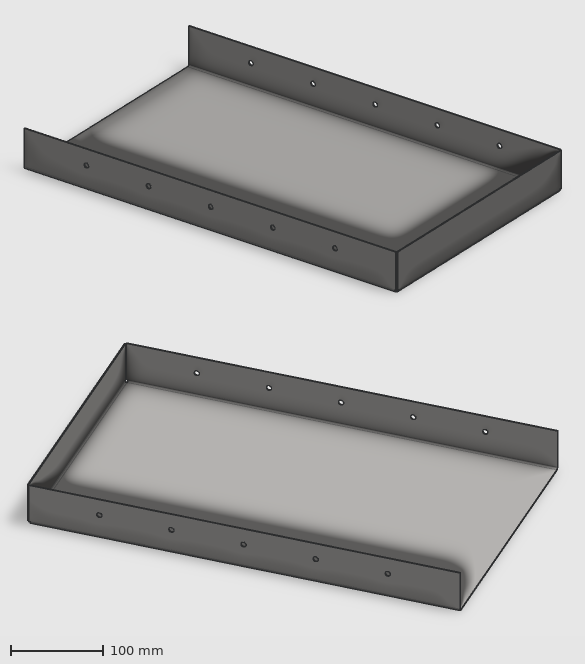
import cadquery as cq

length = 502.0
width = 304.0
height = 50.0

sheet = 1.5
outer_bend = 3.5
inner_bend = outer_bend - sheet

wall_setback = 1.75
bend_setback = outer_bend

hole_diameter = 6.0
hole_count = 5
hole_height = 30.0
hole_pitch = length / (hole_count + 1)


def rounded_block(x_end, block_width, floor_z, bend):
    """Block flush with X = 0, rounded along the floor edges except the one at X = 0."""
    block = cq.Workplane("XY").box(x_end, block_width, height - floor_z, centered=(False, True, False))
    block = block.translate((0, 0, floor_z))
    return block.faces("<Z").edges("not <X").fillet(bend)


def tray():
    """Thin tray with a floor, two long walls and one end wall at +X."""
    outside = rounded_block(length, width, 0, outer_bend)
    inside = rounded_block(length - sheet, width - 2 * sheet, sheet, inner_bend)
    return outside.cut(inside)


def wall_holes():
    """Evenly spaced pins that cross both long walls."""
    centres = [((i + 1) * hole_pitch, hole_height) for i in range(hole_count)]
    pins = cq.Workplane("XZ").pushPoints(centres).circle(hole_diameter / 2)
    return pins.extrude(width, both=True)


def corner_notches(setback, top):
    """Square notches at both +X corners, from the underside up to the given height."""
    corners = [(length, side * width / 2) for side in (-1, 1)]
    return cq.Workplane("XY").pushPoints(corners).rect(2 * setback, 2 * setback).extrude(top)


wall_gaps = corner_notches(wall_setback, height)
bend_reliefs = corner_notches(bend_setback, outer_bend)
result = tray().cut(wall_holes()).cut(wall_gaps).cut(bend_reliefs)